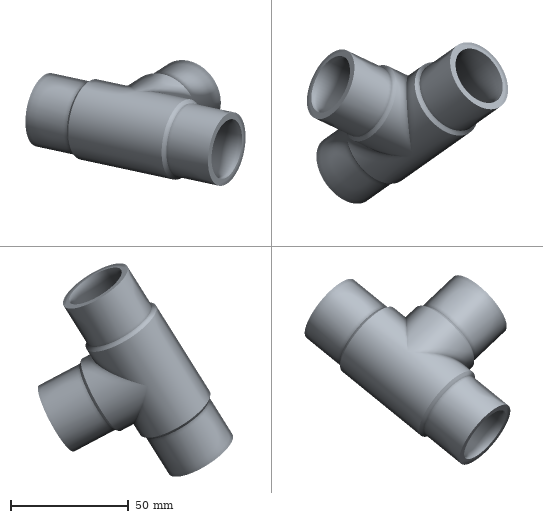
import cadquery as cq

spigot_diameter = 32.0
body_diameter = 35.0
bore_diameter = 26.0
arm_length = 45.0
body_reach = 24.5

bevel = (body_diameter - spigot_diameter) / 2


def tee_centre(direction):
    """Workplane at the tee centre whose normal points along an arm."""
    return cq.Workplane(cq.Plane(origin=(0, 0, 0), xDir=(0, 0, 1), normal=direction))


def arm_outside(direction):
    """Solid outside of one arm: thick body, bevel and spigot."""
    spigot = tee_centre(direction).circle(spigot_diameter / 2).extrude(arm_length)
    body = tee_centre(direction).circle(body_diameter / 2).extrude(body_reach)
    body = body.faces(cq.selectors.DirectionMinMaxSelector(cq.Vector(*direction))).chamfer(bevel)
    return body.union(spigot)


def arm_bore(direction):
    """Round passage from the tee centre to the open end of one arm."""
    return tee_centre(direction).circle(bore_diameter / 2).extrude(arm_length)


run_left = (-1, 0, 0)
run_right = (1, 0, 0)
branch = (0, 1, 0)

outside = arm_outside(run_left).union(arm_outside(run_right)).union(arm_outside(branch))
passages = arm_bore(run_left).union(arm_bore(run_right)).union(arm_bore(branch))

result = outside.cut(passages).clean()